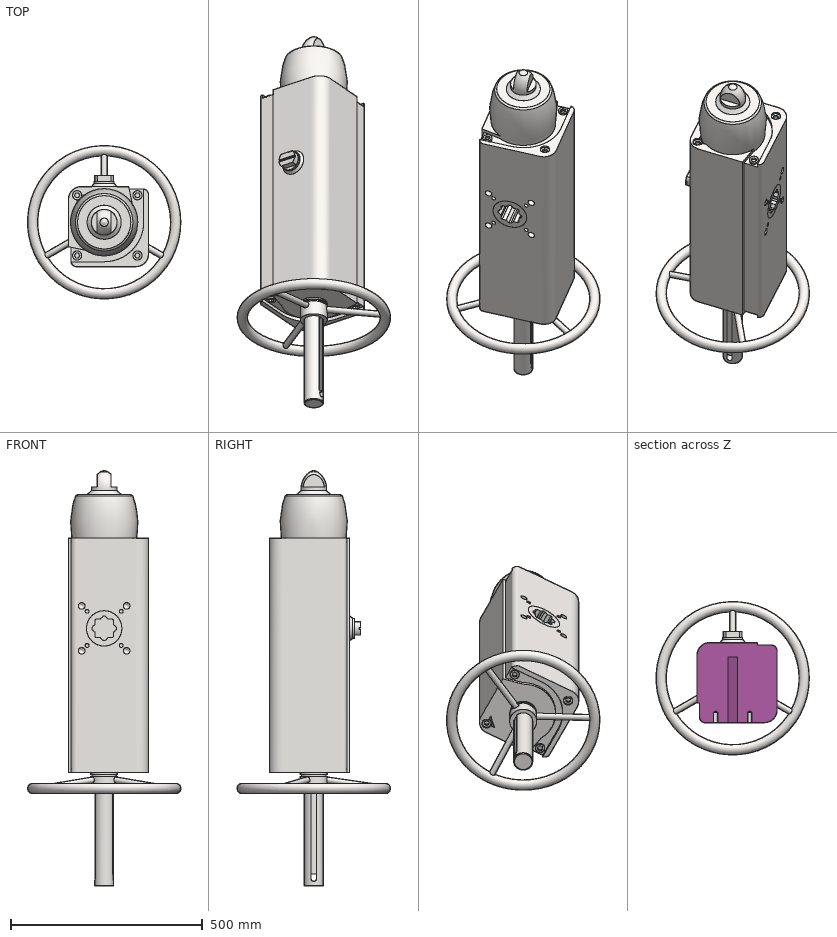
import cadquery as cq
import math


overall_height = 1084.0
spindle_bottom = -296.0

housing_height = 611.0
near_side = 93.0
far_side = 116.0
step_side = 87.0
step_start = 64.0
step_slope = 0.2
large_corner_radius = 34.0
small_corner_reach = 13.0
small_corner_radius = 16.0

recess_depth = 10.0
recess_reach = 103.0
screw_near = 70.0
screw_far = 87.0
screw_head_diameter = 24.0
screw_head_drop = 4.9
socket_width = 14.0
socket_depth = 7.0

cover_height = 114.0
cover_base_radius = 85.0
cover_bulge_radius = 88.0
cover_bulge_height = 38.0
cover_shoulder_radius = 75.0
cover_top_radius = 69.0
cover_edge_drop = 3.8
collar_base_radius = 44.0
point_base_radius = 34.0
collar_height = 10.0
point_middle_radius = 28.0
point_middle_height = 38.0
point_cap_radius = 11.0
point_cap_height = 59.0
tip_height = overall_height + spindle_bottom - housing_height - cover_height
flat_height = 20.0
flat_thickness = 37.0

wheel_diameter = 400.0
rim_diameter = 27.0
rim_level = -41.0
spoke_count = 3
spoke_diameter = 16.0
spoke_rise = 27.0
hub_diameter = 70.0
neck_diameter = 64.0
neck_top = -4.0
neck_bottom = -10.0
hub_bottom = -49.0

spindle_diameter = 50.0
spindle_chamfer = 2.0
core_diameter = 45.0
core_bottom = -265.0
slot_width = 14.0
slot_bottom = -283.0

shaft_level = 376.0
shaft_diameter = 92.0
journal_diameter = 66.0
journal_start = 54.0
star_square = 49.0
star_diameter = 64.0
star_depth = 65.0
cone_top_diameter = 54.0
cone_height = 8.0
stub_collar_diameter = 52.0
stub_diameter = 50.0
stub_round_end = 106.0
stub_end = 122.0
stub_flats = 35.0
stub_slot_width = 4.0
stub_slot_depth = 3.0
mount_holes = ((17.0, 59.0), (10.1, 44.0))
mount_hole_depth = 27.0
drill_tip_ratio = 0.3

corner_screws = (
    (-screw_near, screw_near),
    (-screw_near, -screw_far),
    (screw_far, screw_near),
    (screw_far, -screw_far),
)


def step_wall(across):
    """Distance along the side of the step wall, at a distance `across` from the axis."""
    return step_start + step_slope * (near_side - across)


def make_block():
    step_foot = step_wall(step_side)
    block = (
        cq.Workplane("XY")
        .moveTo(-near_side, near_side)
        .lineTo(step_start, near_side)
        .lineTo(step_foot, step_side)
        .lineTo(far_side - small_corner_reach, step_side)
        .radiusArc((far_side, step_side - small_corner_reach), small_corner_radius)
        .lineTo(far_side, -far_side)
        .lineTo(-step_side + small_corner_reach, -far_side)
        .radiusArc((-step_side, -far_side + small_corner_reach), small_corner_radius)
        .lineTo(-step_side, -step_foot)
        .lineTo(-near_side, -step_start)
        .close()
        .extrude(housing_height)
    )
    for x, y in ((-near_side, near_side), (far_side, -far_side)):
        edge_finder = cq.selectors.NearestToPointSelector((x, y, housing_height / 2))
        block = block.edges(edge_finder).fillet(large_corner_radius)
    return block


def make_end_recess():
    """Space cut from the top end, with the four screw heads left standing in it."""
    floor = housing_height - recess_depth
    wall_end = step_wall(0)
    diagonal = recess_reach / math.sqrt(2)
    band = (
        cq.Workplane("XY", origin=(0, 0, floor))
        .moveTo(step_start, near_side)
        .lineTo(recess_reach, near_side)
        .lineTo(recess_reach, 0)
        .threePointArc((diagonal, -diagonal), (0, -recess_reach))
        .lineTo(-near_side, -recess_reach)
        .lineTo(-near_side, -step_start)
        .lineTo(0, -wall_end)
        .lineTo(wall_end, 0)
        .close()
        .extrude(recess_depth)
    )
    pocket = (
        cq.Workplane("XY", origin=(0, 0, floor))
        .rect(-screw_near, screw_near, centered=False)
        .extrude(recess_depth)
    )
    counterbores = (
        cq.Workplane("XY", origin=(0, 0, floor))
        .pushPoints(corner_screws)
        .circle(screw_head_diameter / 2)
        .extrude(recess_depth)
    )
    heads = (
        cq.Workplane("XY", origin=(0, 0, floor))
        .pushPoints(corner_screws)
        .circle(screw_head_diameter / 2)
        .extrude(recess_depth - screw_head_drop)
    )
    sockets = (
        cq.Workplane("XY", origin=(0, 0, housing_height - screw_head_drop))
        .pushPoints(corner_screws)
        .polygon(6, socket_width)
        .extrude(-socket_depth)
    )
    return band.union(pocket).union(counterbores).cut(heads).union(sockets)


def make_cover():
    """Barrel-shaped cover; its foot fills the recess beneath it."""
    return (
        cq.Workplane("XZ", origin=(0, 0, housing_height))
        .moveTo(0, -recess_depth)
        .lineTo(cover_base_radius, -recess_depth)
        .lineTo(cover_base_radius, 0)
        .threePointArc(
            (cover_bulge_radius, cover_bulge_height),
            (cover_shoulder_radius, cover_height - cover_edge_drop),
        )
        .lineTo(cover_top_radius, cover_height)
        .lineTo(0, cover_height)
        .close()
        .revolve(360, (0, 0), (0, 1))
    )


def make_indicator():
    """Pointed indicator with two flats parallel to the YZ plane."""
    base_level = housing_height + cover_height
    point = (
        cq.Workplane("XZ", origin=(0, 0, base_level))
        .lineTo(collar_base_radius, 0)
        .lineTo(point_base_radius, collar_height)
        .threePointArc((point_middle_radius, point_middle_height), (point_cap_radius, point_cap_height))
        .lineTo(0, tip_height)
        .close()
        .revolve(360, (0, 0), (0, 1))
    )
    for side in (-1, 1):
        cutter_width = 2 * collar_base_radius
        cutter = (
            cq.Workplane("XY", origin=(0, 0, base_level + flat_height))
            .center(side * (flat_thickness + cutter_width) / 2, 0)
            .rect(cutter_width, cutter_width)
            .extrude(tip_height)
        )
        point = point.cut(cutter)
    return point


def make_handwheel():
    rim_radius = (wheel_diameter - rim_diameter) / 2
    rim = cq.Solid.makeTorus(rim_radius, rim_diameter / 2, cq.Vector(0, 0, rim_level))
    hub = (
        cq.Workplane("XY")
        .circle(hub_diameter / 2)
        .extrude(neck_top)
        .faces("<Z")
        .workplane(invert=True)
        .circle(neck_diameter / 2)
        .extrude(neck_bottom - neck_top)
    )
    hub = hub.union(
        cq.Workplane("XY", origin=(0, 0, neck_bottom))
        .circle(hub_diameter / 2)
        .extrude(hub_bottom - neck_bottom)
    )
    wheel = hub
    spoke_length = math.hypot(rim_radius, spoke_rise)
    for index in range(spoke_count):
        angle = math.radians(90 + index * 360 / spoke_count)
        rim_point = cq.Vector(rim_radius * math.cos(angle), rim_radius * math.sin(angle), rim_level)
        inward = cq.Vector(0, 0, rim_level + spoke_rise) - rim_point
        spoke = cq.Solid.makeCylinder(spoke_diameter / 2, spoke_length, rim_point, inward)
        wheel = wheel.union(cq.Workplane(spoke))
    return wheel.union(cq.Workplane(rim), clean=False)


def make_spindle():
    """Spindle with a lengthwise groove on both sides, open right through below the core."""
    spindle = (
        cq.Workplane("XY", origin=(0, 0, spindle_bottom))
        .circle(spindle_diameter / 2)
        .extrude(-spindle_bottom)
        .faces("<Z")
        .edges()
        .chamfer(spindle_chamfer)
    )
    slot_radius = slot_width / 2
    slot = (
        cq.Workplane("YZ", origin=(-spindle_diameter, 0, 0))
        .moveTo(-slot_radius, hub_bottom)
        .lineTo(-slot_radius, slot_bottom + slot_radius)
        .threePointArc((0, slot_bottom), (slot_radius, slot_bottom + slot_radius))
        .lineTo(slot_radius, hub_bottom)
        .close()
        .extrude(2 * spindle_diameter)
    )
    core = (
        cq.Workplane("XY", origin=(0, 0, core_bottom))
        .circle(core_diameter / 2)
        .extrude(-core_bottom)
    )
    return spindle.cut(slot.cut(core))


def make_shaft_envelope():
    """Output shaft without its sockets, along +Y from the housing front."""
    return (
        cq.Workplane("XY", origin=(0, 0, shaft_level))
        .moveTo(0, -far_side)
        .lineTo(shaft_diameter / 2, -far_side)
        .lineTo(shaft_diameter / 2, journal_start)
        .lineTo(journal_diameter / 2, journal_start)
        .lineTo(journal_diameter / 2, near_side)
        .lineTo(cone_top_diameter / 2, near_side + cone_height)
        .lineTo(stub_collar_diameter / 2, near_side + cone_height)
        .lineTo(stub_collar_diameter / 2, stub_round_end)
        .lineTo(stub_diameter / 2, stub_round_end)
        .lineTo(stub_diameter / 2, stub_end)
        .lineTo(0, stub_end)
        .close()
        .revolve(360, (0, 0), (0, 1))
    )


def make_mount_holes():
    """Blind drilled holes in the front face, two square patterns around the shaft."""
    holes = cq.Workplane("XY")
    for diameter, offset in mount_holes:
        tip_depth = mount_hole_depth + drill_tip_ratio * diameter
        for x in (-offset, offset):
            for z in (shaft_level - offset, shaft_level + offset):
                hole = (
                    cq.Workplane("XY", origin=(x, -far_side, z))
                    .lineTo(diameter / 2, 0)
                    .lineTo(diameter / 2, mount_hole_depth)
                    .lineTo(0, tip_depth)
                    .close()
                    .revolve(360, (0, 0), (0, 1))
                )
                holes = holes.union(hole)
    return holes


def make_actuator():
    """Housing with its cover, indicator, handwheel and spindle."""
    top_recess = make_end_recess()
    bottom_recess = top_recess.mirror("XY", (0, 0, housing_height / 2))
    block = make_block().cut(top_recess).cut(bottom_recess)
    foot = cq.Workplane("XY").circle(cover_base_radius).extrude(recess_depth)
    actuator = block.union(foot).union(make_cover()).union(make_indicator())
    actuator = actuator.cut(make_shaft_envelope()).cut(make_mount_holes())
    return actuator.union(make_spindle()).union(make_handwheel(), clean=False)


def make_output_shaft():
    shaft = make_shaft_envelope()
    front = cq.Workplane("XZ", origin=(0, -far_side, shaft_level))
    star = front.rect(star_square, star_square).extrude(-star_depth)
    star = star.union(star.rotate((0, 0, shaft_level), (0, 1, shaft_level), 45))
    star = star.intersect(front.circle(star_diameter / 2).extrude(-star_depth))
    shaft = shaft.cut(star)

    flat_length = stub_end - stub_round_end
    for side in (-1, 1):
        cutter = cq.Workplane("XY").box(stub_diameter, flat_length, stub_flats)
        shaft = shaft.cut(
            cutter.translate((0, stub_end - flat_length / 2, shaft_level + side * stub_flats))
        )
    end_slot = cq.Workplane("XY").box(stub_diameter, 2 * stub_slot_depth, stub_slot_width)
    return shaft.cut(end_slot.translate((0, stub_end, shaft_level)))


actuator = make_actuator()
output_shaft = make_output_shaft()
result = cq.Compound.makeCompound([actuator.solids().val(), output_shaft.solids().val()])